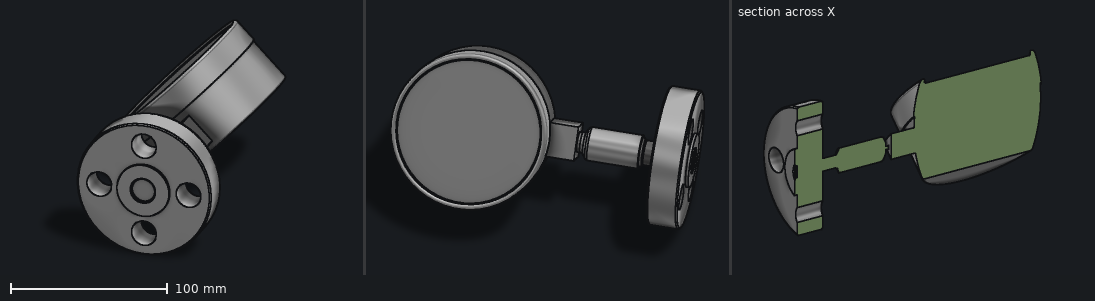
import cadquery as cq
import math


flange_radius = 45.0
flange_thickness = 20.0
flange_chamfer = 1.0
face_radius = 17.5
face_height = 2.0
bore_radius = 8.5
bore_depth = 1.7
bore_chamfer = 0.8
bolt_count = 4
bolt_circle_radius = 30.0
bolt_hole_radius = 8.3
flange_top = face_height + flange_thickness

stem_radius = 8.0
sleeve_radius = 11.0
sleeve_start = 31.5
sleeve_end = 71.0
lower_edge_height = 34.5
lower_shoulder_radius = 10.0
lower_shoulder_height = 34.0
lower_foot_radius = 8.5
lower_foot_height = 32.5
sleeve_shoulder_radius = 10.2
shoulder_height = 2.0
cone_height = 1.5
cone_top_radius = 7.5
neck_radius = 6.7
neck_relief_radius = 6.5
neck_relief_height = 2.0

block_width = 22.1
block_start = 75.0

overall_length = 192.5
bezel_radius = 50.5
bezel_bead_radius = 1.7
bezel_back = 16.2
bezel_front = 33.7
dial_ledge_width = 0.8
dial_recess = 0.5
case_radius = 49.5
case_back = -15.5
case_back_fillet = 1.3
case_center = overall_length - bezel_radius
dial_angle = -45.0


def make_flange():
    """Chamfered disc with a raised sealing face, a shallow central recess and bolt holes."""
    profile = [
        (0, bore_depth),
        (bore_radius - bore_chamfer, bore_depth),
        (bore_radius - bore_chamfer, bore_chamfer),
        (bore_radius, 0),
        (face_radius, 0),
        (face_radius, face_height),
        (flange_radius - flange_chamfer, face_height),
        (flange_radius, face_height + flange_chamfer),
        (flange_radius, flange_top - flange_chamfer),
        (flange_radius - flange_chamfer, flange_top),
        (0, flange_top),
    ]
    disc = cq.Workplane("XY").polyline(profile).close().revolve(360, (0, 0), (0, 1))
    bolt_holes = (
        cq.Workplane("XZ")
        .polarArray(bolt_circle_radius, 0, 360, bolt_count)
        .circle(bolt_hole_radius)
        .extrude(-flange_top)
    )
    return disc.cut(bolt_holes)


def make_stem():
    """Turned stem with a thicker sleeve and a relieved neck below the block."""
    shoulder_start = sleeve_end - shoulder_height
    profile = [
        (0, bore_depth),
        (0, block_start),
        (neck_relief_radius, block_start),
        (neck_relief_radius, block_start - neck_relief_height),
        (neck_radius, block_start - neck_relief_height),
        (neck_radius, sleeve_end),
        (cone_top_radius, sleeve_end),
        (sleeve_shoulder_radius, shoulder_start),
        (sleeve_radius, shoulder_start - cone_height),
        (sleeve_radius, lower_edge_height),
        (lower_shoulder_radius, lower_shoulder_height),
        (lower_foot_radius, lower_foot_height),
        (stem_radius, sleeve_start),
        (stem_radius, bore_depth),
    ]
    return cq.Workplane("XY").polyline(profile).close().revolve(360, (0, 0), (0, 1))


def make_block():
    """Square block reaching up to the middle of the case."""
    return cq.Workplane("XZ", origin=(0, block_start, 0)).rect(block_width, block_width).extrude(
        block_start - case_center
    )


def make_case():
    """Round case with a bead-edged bezel; its axis is +Z before it is turned."""
    bead_base = bezel_front - bezel_bead_radius
    bead_inner_radius = bezel_radius - 2 * bezel_bead_radius
    dial_radius = bead_inner_radius - dial_ledge_width
    dial_height = bead_base - dial_recess
    section = (
        cq.Workplane("XZ")
        .moveTo(0, case_back)
        .lineTo(case_radius, case_back)
        .lineTo(case_radius, bezel_back)
        .lineTo(bezel_radius, bezel_back)
        .lineTo(bezel_radius, bead_base)
        .threePointArc(
            (bezel_radius - bezel_bead_radius, bezel_front),
            (bead_inner_radius, bead_base),
        )
        .lineTo(dial_radius, bead_base)
        .lineTo(dial_radius, dial_height)
        .lineTo(0, dial_height)
        .close()
    )
    body = section.revolve(360, (0, 0), (0, 1)).faces("<Z").edges().fillet(case_back_fillet)
    return body.translate((0, case_center, 0))


head = make_case().union(make_block()).rotate((0, 0, 0), (0, 1, 0), dial_angle)
result = make_flange().union(make_stem()).union(head)